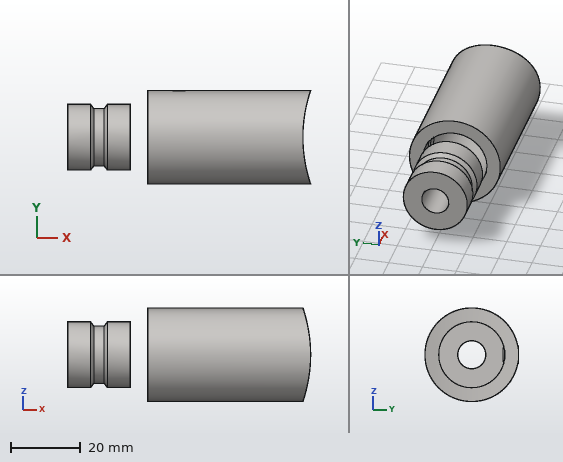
import cadquery as cq
import math

plug_length = 18.0
plug_diameter = 19.0
plug_hole_diameter = 8.0
groove_diameter = 16.6
groove_top_width = 4.9
groove_floor_width = 3.0

plug_to_sleeve_gap = 5.0
sleeve_diameter = 27.0
bore_diameter = plug_diameter
overall_length = 69.92
saddle_radius = 42.0

screw_diameter = 5.0
screw_length = 4.5
screw_tip_chamfer = 0.5

sleeve_radius = sleeve_diameter / 2
sleeve_start = plug_length + plug_to_sleeve_gap
sleeve_length = overall_length - sleeve_start
screw_x = sleeve_start + plug_length / 2
saddle_x = overall_length + math.sqrt(saddle_radius**2 - sleeve_radius**2)


def cylinder_along_x(diameter, start, length):
    return cq.Workplane("YZ", origin=(start, 0, 0)).circle(diameter / 2).extrude(length)


def make_plug():
    center = plug_length / 2
    radius = plug_diameter / 2
    groove_radius = groove_diameter / 2
    hole_radius = plug_hole_diameter / 2
    profile = (
        cq.Workplane("XY")
        .moveTo(0, hole_radius)
        .lineTo(0, radius)
        .lineTo(center - groove_top_width / 2, radius)
        .lineTo(center - groove_floor_width / 2, groove_radius)
        .lineTo(center + groove_floor_width / 2, groove_radius)
        .lineTo(center + groove_top_width / 2, radius)
        .lineTo(plug_length, radius)
        .lineTo(plug_length, hole_radius)
        .close()
    )
    return profile.revolve(360, (0, 0, 0), (1, 0, 0))


def screw_cylinder():
    outer_end = cq.Workplane("XZ", origin=(screw_x, sleeve_radius, 0))
    return outer_end.circle(screw_diameter / 2).extrude(screw_length)


def make_set_screw():
    return screw_cylinder().faces("<Y").chamfer(screw_tip_chamfer)


def make_sleeve():
    tube = cylinder_along_x(sleeve_diameter, sleeve_start, sleeve_length)
    bore = cylinder_along_x(bore_diameter, sleeve_start, sleeve_length)
    saddle = (
        cq.Workplane("XY", origin=(saddle_x, 0, 0))
        .circle(saddle_radius)
        .extrude(sleeve_radius, both=True)
    )
    return tube.cut(bore).cut(saddle).cut(screw_cylinder())


plug = make_plug()
sleeve = make_sleeve()
set_screw = make_set_screw()

result = cq.Compound.makeCompound([plug.val(), sleeve.val(), set_screw.val()])